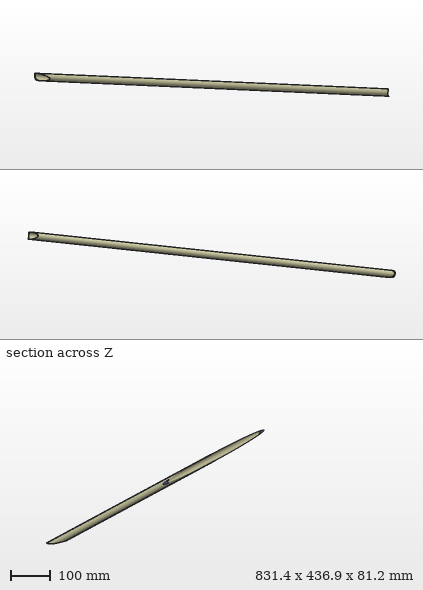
import cadquery as cq
import math

tube_diameter = 19.4
wall_thickness = 0.9
axis_length = 951.0

plane_tilt = 4.35
tube_heading = 28.236

start_cross_diameter = 25.4
start_cross_heading = 5.8

end_cross_diameter = 21.7
end_cross_heading = -13.15

overrun = 4.0 * tube_diameter
cross_length = 15.0 * tube_diameter


def direction(heading):
    """Unit vector in the common plane, before it is tipped up."""
    angle = math.radians(heading)
    return cq.Vector(math.cos(angle), math.sin(angle), 0)


def make_tube():
    """Hollow tube through the origin, overrunning both crossing axes."""
    along = direction(tube_heading)
    start = along * -(axis_length / 2.0 + overrun)
    section = cq.Plane(origin=start.toTuple(), xDir=(0, 0, 1), normal=along.toTuple())
    outer_radius = tube_diameter / 2.0
    return (
        cq.Workplane(section)
        .circle(outer_radius)
        .circle(outer_radius - wall_thickness)
        .extrude(axis_length + 2.0 * overrun)
    )


def make_cross_tube(center, diameter, heading):
    """Solid cylinder with the outer surface of a crossing tube."""
    along = direction(heading)
    base = center - along * (cross_length / 2.0)
    return cq.Workplane(cq.Solid.makeCylinder(diameter / 2.0, cross_length, base, along))


def cut_saddles(tube):
    """Cut both saddles and keep only the piece between them."""
    half_axis = direction(tube_heading) * (axis_length / 2.0)
    start_cross = make_cross_tube(half_axis * -1.0, start_cross_diameter, start_cross_heading)
    end_cross = make_cross_tube(half_axis, end_cross_diameter, end_cross_heading)
    pieces = tube.cut(start_cross).cut(end_cross).solids().vals()
    return cq.Workplane(max(pieces, key=lambda piece: piece.Volume()))


flat_tube = cut_saddles(make_tube())
result = flat_tube.rotate((0, 0, 0), (0, 1, 0), -plane_tilt)